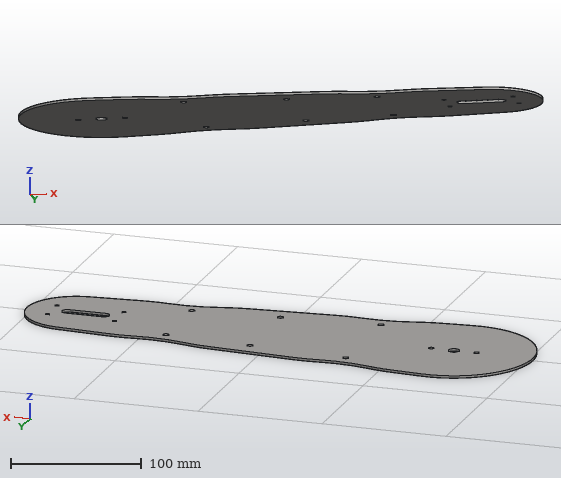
import cadquery as cq
import math

overall_length = 408.1
large_end_radius = 63.7
small_end_radius = 39.9
thickness = 2.0
end_spacing = overall_length - large_end_radius - small_end_radius

waist_centers = (66.5, 219.5)
waist_half_length = 42.0
waist_depth = 3.9

pivot_diameter = 8.5
pivot_side_diameter = 4.0
pivot_side_spacing = 36.6

flank_hole_diameter = 4.5
flank_hole_inset = 14.8
flank_hole_stations = (73.0, 152.2, 221.8)

slot_center_x = 297.0
slot_length = 38.0
slot_width = 8.6
screw_diameter = 3.0
screw_spacing_x = 54.0
screw_spacing_y = 23.0

taper_angle = math.asin((large_end_radius - small_end_radius) / end_spacing)
taper_sin = math.sin(taper_angle)
taper_cos = math.cos(taper_angle)
flank_length = end_spacing * taper_cos


def flank_point(along, inward, side):
    """Point measured along a flank and inward from it; side is +1 for upper, -1 for lower."""
    outward = large_end_radius - inward
    x = along * taper_cos + outward * taper_sin
    y = outward * taper_cos - along * taper_sin
    return x, side * y


def waist_arcs(center, side, direction):
    """Middle and end points of the rounded entry, concave floor and rounded exit of a waist."""
    turn = 2 * math.atan(waist_depth / waist_half_length)
    radius = waist_half_length / (2 * math.sin(turn))
    mid_offset = waist_half_length - radius * math.sin(turn / 2)
    mid_depth = radius * (1 - math.cos(turn / 2))
    profile = (
        ((-mid_offset, mid_depth), (-waist_half_length / 2, waist_depth / 2)),
        ((0, waist_depth), (waist_half_length / 2, waist_depth / 2)),
        ((mid_offset, mid_depth), (waist_half_length, 0)),
    )
    return [
        [flank_point(center + direction * offset, depth, side) for offset, depth in arc]
        for arc in profile
    ]


def draw_flank(outline, side, direction):
    """Add a flank with its waists; direction is +1 toward the small end, -1 toward the large end."""
    for center in waist_centers[::direction]:
        outline = outline.lineTo(*flank_point(center - direction * waist_half_length, 0, side))
        for middle, end in waist_arcs(center, side, direction):
            outline = outline.threePointArc(middle, end)
    flank_end = flank_length if direction > 0 else 0
    return outline.lineTo(*flank_point(flank_end, 0, side))


def make_plate():
    outline = cq.Workplane("XY").moveTo(*flank_point(0, 0, 1))
    outline = draw_flank(outline, 1, 1)
    outline = outline.threePointArc((end_spacing + small_end_radius, 0), flank_point(flank_length, 0, -1))
    outline = draw_flank(outline, -1, -1)
    outline = outline.threePointArc((-large_end_radius, 0), flank_point(0, 0, 1))
    return outline.close().extrude(thickness)


def drill(plate, points, diameter):
    cutter = cq.Workplane("XY").pushPoints(points).circle(diameter / 2).extrude(thickness)
    return plate.cut(cutter)


def flank_hole_points():
    points = []
    for x in flank_hole_stations:
        y = (large_end_radius - flank_hole_inset - x * taper_sin) / taper_cos
        points += [(x, y), (x, -y)]
    return points


def screw_points():
    return [
        (slot_center_x + sx * screw_spacing_x / 2, sy * screw_spacing_y / 2)
        for sx in (-1, 1)
        for sy in (-1, 1)
    ]


def cut_slot(plate):
    slot = cq.Workplane("XY").center(slot_center_x, 0).slot2D(slot_length, slot_width).extrude(thickness)
    return plate.cut(slot)


result = make_plate()
result = drill(result, [(0, 0)], pivot_diameter)
result = drill(result, [(-pivot_side_spacing / 2, 0), (pivot_side_spacing / 2, 0)], pivot_side_diameter)
result = drill(result, flank_hole_points(), flank_hole_diameter)
result = drill(result, screw_points(), screw_diameter)
result = cut_slot(result)